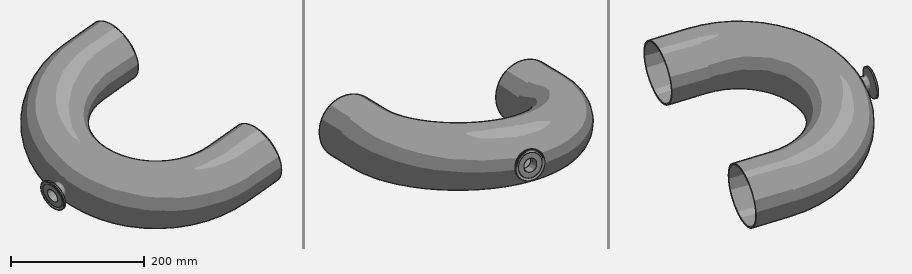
import cadquery as cq
import math

TUBE_OUTER_DIAMETER = 101.6
TUBE_INNER_DIAMETER = 97.38
BEND_RADIUS = 152.4
STRAIGHT_LENGTH = 63.5

OUTLET_PROJECTION = 15.87
FERRULE_LENGTH = 12.7
NECK_OUTER_DIAMETER = 25.4
NECK_INNER_DIAMETER = 22.1
FLANGE_DIAMETER = 50.39
FLANGE_RIM_THICKNESS = 2.85
FLANGE_BACK_ANGLE = 20.0
NECK_ROUND = 1.5
WELD_ROUND = 2.0

GROOVE_MEAN_DIAMETER = 43.6
GROOVE_WIDTH = 2.8
GROOVE_DEPTH = 1.2
GROOVE_EDGE_ROUND = 0.8

PICK_MARGIN = 0.01

bend_outer_y = -(BEND_RADIUS + TUBE_OUTER_DIAMETER / 2)
face_y = bend_outer_y - OUTLET_PROJECTION
rim_y = face_y + FLANGE_RIM_THICKNESS
joint_y = face_y + FERRULE_LENGTH
neck_root_y = -BEND_RADIUS


def return_bend(diameter):
    """Solid U-shaped bar of round section along the tube centreline."""
    radius = diameter / 2
    bend = (
        cq.Workplane("XZ")
        .center(BEND_RADIUS, 0)
        .circle(radius)
        .revolve(180, (-BEND_RADIUS, 0, 0), (-BEND_RADIUS, -1, 0))
    )
    ends = (
        cq.Workplane("XZ")
        .pushPoints([(-BEND_RADIUS, 0), (BEND_RADIUS, 0)])
        .circle(radius)
        .extrude(-STRAIGHT_LENGTH)
    )
    return bend.union(ends)


def neck_cylinder(diameter, end_y):
    """Cylinder on the outlet axis from inside the tube out to end_y."""
    section = cq.Workplane("XZ", origin=(0, neck_root_y, 0)).circle(diameter / 2)
    return section.extrude(neck_root_y - end_y)


def revolve_about_outlet(profile):
    """Full turn of an XY profile about the outlet axis."""
    return profile.close().revolve(360, (0, 0, 0), (0, 1, 0))


def edges_between(start_y, end_y):
    """Selector for edges centred near the outlet axis, between two stations along it."""
    reach = FLANGE_DIAMETER / 2
    return cq.selectors.BoxSelector(
        (-reach, start_y - PICK_MARGIN, -reach),
        (reach, end_y + PICK_MARGIN, reach),
    )


def gasket_groove():
    """Ring with an arc section that sinks into the ferrule face."""
    mean_radius = GROOVE_MEAN_DIAMETER / 2
    half_width = GROOVE_WIDTH / 2
    return revolve_about_outlet(
        cq.Workplane("XY")
        .moveTo(mean_radius - half_width, face_y)
        .threePointArc((mean_radius, face_y + GROOVE_DEPTH), (mean_radius + half_width, face_y))
    )


def ferrule():
    """Clamp ferrule with a tapered flange back and a gasket groove, without its bore."""
    neck_radius = NECK_OUTER_DIAMETER / 2
    flange_radius = FLANGE_DIAMETER / 2
    taper_rise = (flange_radius - neck_radius) * math.tan(math.radians(FLANGE_BACK_ANGLE))
    taper_end_y = rim_y + taper_rise
    body = revolve_about_outlet(
        cq.Workplane("XY")
        .moveTo(0, face_y)
        .lineTo(flange_radius, face_y)
        .lineTo(flange_radius, rim_y)
        .lineTo(neck_radius, taper_end_y)
        .lineTo(neck_radius, joint_y)
        .lineTo(0, joint_y)
    )
    body = body.edges(edges_between(taper_end_y, taper_end_y)).fillet(NECK_ROUND)
    body = body.cut(gasket_groove())
    face_circles = body.edges(edges_between(face_y, face_y))
    return face_circles.edges(cq.selectors.RadiusNthSelector(1)).fillet(GROOVE_EDGE_ROUND)


def welded_tube():
    """Solid tube with the outlet stub, blended by a weld fillet where they meet."""
    body = return_bend(TUBE_OUTER_DIAMETER).union(neck_cylinder(NECK_OUTER_DIAMETER, joint_y))
    junction = edges_between(joint_y + WELD_ROUND, neck_root_y)
    return body.edges(junction).edges("not %LINE").fillet(WELD_ROUND)


result = (
    welded_tube()
    .union(ferrule())
    .cut(neck_cylinder(NECK_INNER_DIAMETER, face_y))
    .cut(return_bend(TUBE_INNER_DIAMETER))
)